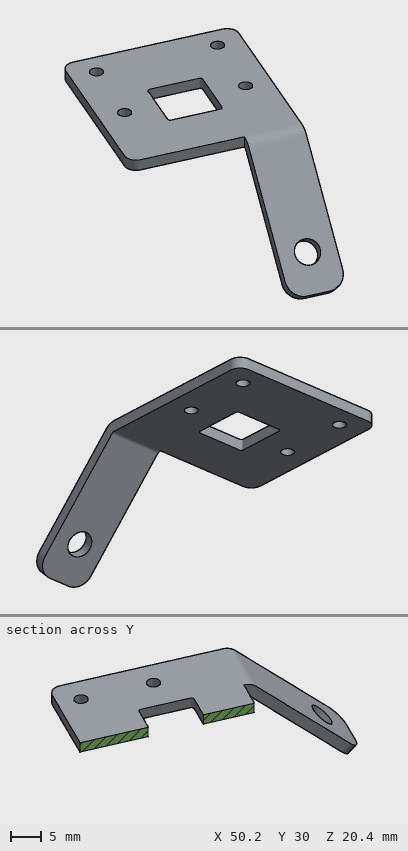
import cadquery as cq
import math

plate_side = 30.0
thickness = 2.0
plate_corner_radius = 2.0

window_side = 9.45
window_corner_radius = 0.45
window_center = (16.45, 15.0)

screw_hole_diameter = 2.25
screw_hole_xs = (4.0, 16.45)
screw_hole_ys = (4.5, 25.5)

overall_length = 50.2
tab_width = 10.0
tab_corner_radius = 3.0
tab_hole_diameter = 4.35
tab_hole_from_tip = 7.05
bend_angle = 45.0
bend_inner_radius = 1.0

bend_outer_radius = bend_inner_radius + thickness
bend_sine = math.sin(math.radians(bend_angle))
bend_cosine = math.cos(math.radians(bend_angle))
tab_length = (overall_length - plate_side - bend_outer_radius * bend_sine) / bend_cosine
tab_center_y = plate_side - tab_width / 2


def make_plate():
    """Flat plate; the back right corner stays square where the tab joins."""
    plate = cq.Workplane("XY").box(plate_side, plate_side, thickness, centered=False)
    plate = plate.translate((0, 0, -thickness))
    plate = plate.edges("|Z").edges("<X or <Y").fillet(plate_corner_radius)
    window = (
        cq.Workplane("XY")
        .center(*window_center)
        .rect(window_side, window_side)
        .extrude(-thickness)
        .edges("|Z")
        .fillet(window_corner_radius)
    )
    screw_holes = (
        cq.Workplane("XY")
        .pushPoints([(x, y) for x in screw_hole_xs for y in screw_hole_ys])
        .circle(screw_hole_diameter / 2)
        .extrude(-thickness)
    )
    return plate.cut(window).cut(screw_holes)


def bend_point(radius, angle):
    """XZ point on the bend, at a radius and an angle turned from the plate."""
    turn = math.radians(angle)
    return (plate_side + radius * math.sin(turn), radius * math.cos(turn) - bend_outer_radius)


def make_bend():
    """Curved strip between the plate and the sloping tab."""
    return (
        cq.Workplane("XZ", origin=(0, plate_side, 0))
        .moveTo(*bend_point(bend_outer_radius, 0))
        .threePointArc(
            bend_point(bend_outer_radius, bend_angle / 2),
            bend_point(bend_outer_radius, bend_angle),
        )
        .lineTo(*bend_point(bend_inner_radius, bend_angle))
        .threePointArc(
            bend_point(bend_inner_radius, bend_angle / 2),
            bend_point(bend_inner_radius, 0),
        )
        .close()
        .extrude(tab_width)
    )


def make_tab():
    """Sloping tab with a rounded tip and a hole square to its face."""
    start_x, start_z = bend_point(bend_outer_radius, bend_angle)
    slope = cq.Plane(
        origin=(start_x, tab_center_y, start_z),
        xDir=(bend_cosine, 0, -bend_sine),
        normal=(bend_sine, 0, bend_cosine),
    )
    tab = (
        cq.Workplane(slope)
        .center(tab_length / 2, 0)
        .rect(tab_length, tab_width)
        .extrude(-thickness)
        .edges(cq.selectors.ParallelDirSelector(slope.zDir))
        .edges(">X")
        .fillet(tab_corner_radius)
    )
    hole = (
        cq.Workplane(slope)
        .center(tab_length - tab_hole_from_tip, 0)
        .circle(tab_hole_diameter / 2)
        .extrude(-thickness)
    )
    return tab.cut(hole)


result = make_plate().union(make_bend()).union(make_tab())